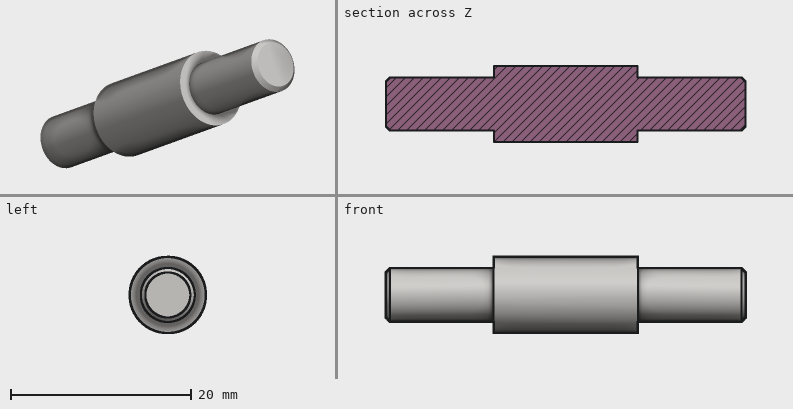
import cadquery as cq

total_length = 40.0
collar_length = 16.0
collar_diameter = 8.5
shaft_diameter = 6.0
end_chamfer = 0.5


def cylinder_along_x(diameter, length):
    """Solid cylinder on the X axis, centred on the origin."""
    start_plane = cq.Workplane("YZ", origin=(-length / 2, 0, 0))
    return start_plane.circle(diameter / 2).extrude(length)


shaft = cylinder_along_x(shaft_diameter, total_length)
shaft = shaft.faces("<X or >X").chamfer(end_chamfer)

collar = cylinder_along_x(collar_diameter, collar_length)

result = shaft.union(collar)